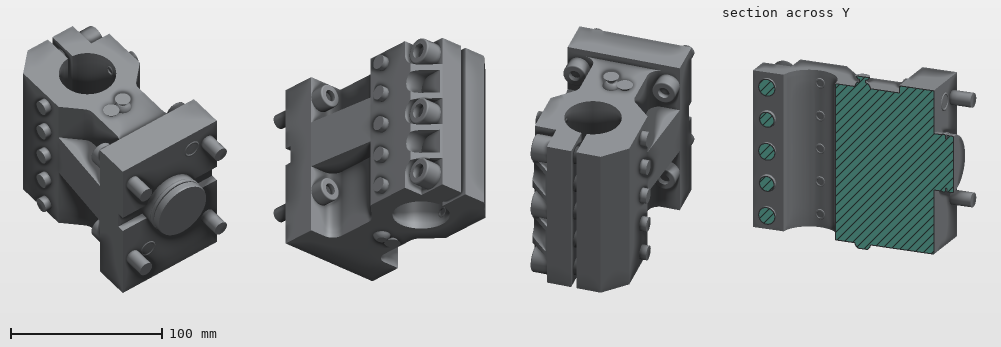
import cadquery as cq


body_height = 110.0
body_half_width = 33.75
body_left = -41.0
corner_chamfer = 15.0
bore_diameter = 38.0
slit_width = 3.7

neck_start = 12.7
neck_half_width = 19.0
neck_fillet = 8.0
rib_bottom = 48.0
rib_top = 81.0

plate_left = 65.0
plate_right = 90.0
plate_height = 115.0
plate_half_width = 39.0
key_slot_depth = 5.0
key_slot_width = 12.4

plate_screw_diameter = 10.0
plate_screw_head_diameter = 16.0
plate_screw_length = 40.0
plate_screw_y = 31.0
plate_screw_levels = (30.0, 100.0)

clamp_screw_diameter = 12.0
clamp_screw_head_diameter = 18.0
clamp_screw_length = 35.0
clamp_axis_x = -30.5
clamp_pitch = 45.0
clamp_middle_level = body_height / 2
clamp_seat_width = 19.5
clamp_seat_y = body_half_width - corner_chamfer
clamp_screw_levels = [clamp_middle_level + step * clamp_pitch for step in (-1, 0, 1)]
spread_screw_levels = [clamp_middle_level + step * clamp_pitch for step in (-0.5, 0.5)]
spread_seat_width = 17.0
spread_seat_step = 1.1
spread_seat_y = clamp_seat_y + spread_seat_step
spread_screw_length = 18.0
spread_tip_chamfer = 2.5

head_edge_round = 1.0
plate_socket_diameter = 8.0
clamp_socket_diameter = 10.0
socket_depth_ratio = 0.4

set_screw_diameter = 10.0
set_screw_length = 20.0
set_screw_end = 38.5
set_screw_tip_chamfer = 1.75
set_screw_cup_diameter = 5.0
set_screw_cup_depth = 1.0
set_screw_count = 5
set_screw_pitch = 23.0
set_screw_first_level = 9.0

spigot_diameter = 40.0
spigot_level = 65.0
spigot_end = 104.0
spigot_end_chamfer_length = 1.0
spigot_end_chamfer_height = 0.4
seal_centre_x = 96.6
seal_cord_radius = 1.6
seal_outer_diameter = 41.0
groove_start = 98.2
groove_end = 99.1
groove_diameter = 35.0

coolant_ring_diameter = 12.8
coolant_ring_cord_radius = 1.0
coolant_ring_projection = 0.4
coolant_ring_offset_y = 18.2
coolant_ring_offset_z = 36.0

nozzle_x = 38.5
ball_radius = 6.0
ball_centre_depth = 1.45
ball_projection = 3.5
neck_radius = 2.3
neck_top = 5.3
nozzle_cone_base_radius = 3.5
nozzle_cone_top_radius = 5.2
nozzle_cone_top = 7.6
plug_y = -9.5
plug_base_radius = 3.1
plug_rim_radius = 5.4
plug_top_height = 2.9
plug_bottom_height = 2.6


def make_body():
    """Body and neck in plan, with the outer corners on the slit side chamfered."""
    slope_end = neck_start + body_half_width - neck_half_width
    outline = (
        cq.Workplane("XY")
        .moveTo(body_left, -body_half_width + corner_chamfer)
        .lineTo(body_left + corner_chamfer, -body_half_width)
        .lineTo(neck_start, -body_half_width)
        .lineTo(slope_end, -neck_half_width)
        .lineTo(plate_left, -neck_half_width)
        .lineTo(plate_left, neck_half_width)
        .lineTo(slope_end, neck_half_width)
        .lineTo(neck_start, body_half_width)
        .lineTo(body_left + corner_chamfer, body_half_width)
        .lineTo(body_left, body_half_width - corner_chamfer)
        .close()
    )
    body = outline.extrude(body_height)
    margin = neck_fillet / 4
    fillet_zone = cq.selectors.BoxSelector(
        (slope_end - margin, -neck_half_width - margin, 0),
        (slope_end + margin, neck_half_width + margin, body_height),
    )
    return body.edges("|Z").edges(fillet_zone).fillet(neck_fillet)


def make_plate():
    """Mounting plate with a key slot across its mounting face."""
    plate = cq.Workplane("XY").box(
        plate_right - plate_left, 2 * plate_half_width, plate_height, centered=(False, True, False)
    ).translate((plate_left, 0, 0))
    slot = cq.Workplane("XY").box(
        key_slot_depth, 2 * plate_half_width, key_slot_width, centered=(False, True, True)
    ).translate((plate_right - key_slot_depth, 0, spigot_level))
    return plate.cut(slot)


def make_rib():
    """Tapered rib joining the body to the full width of the plate."""
    return (
        cq.Workplane("XY", origin=(0, 0, rib_bottom))
        .polyline([
            (neck_start, -body_half_width),
            (plate_left, -plate_half_width),
            (plate_left, plate_half_width),
            (neck_start, body_half_width),
        ])
        .close()
        .extrude(rib_top - rib_bottom)
    )


def make_neck_cove(side):
    """Concave fillet where the neck meets the plate, on the side given by its sign."""
    cove_start = plate_left - neck_fillet
    cove_end_y = neck_half_width + neck_fillet
    return (
        cq.Workplane("XY")
        .moveTo(cove_start, side * neck_half_width)
        .radiusArc((plate_left, side * cove_end_y), -side * neck_fillet)
        .lineTo(plate_left, side * neck_half_width)
        .close()
        .extrude(body_height)
    )


def make_bore_and_slit():
    """Through bore and the slit opening it to the -X face."""
    bore = cq.Workplane("XY").circle(bore_diameter / 2).extrude(body_height)
    bore = bore.rotate((0, 0, 0), (0, 0, 1), 180)
    slit = cq.Workplane("XY").box(
        -body_left, slit_width, body_height, centered=(False, True, False)
    ).translate((body_left, 0, 0))
    return bore.union(slit)


def make_screw_seat(level, width, seat_y):
    """Round-ended pocket from the +Y side, open towards -X, with its floor at seat_y."""
    depth = body_half_width - seat_y
    reach = clamp_axis_x - body_left
    base = cq.Workplane("XZ", origin=(clamp_axis_x, body_half_width, level))
    round_end = base.circle(width / 2).extrude(depth)
    channel = base.center(-reach / 2, 0).rect(reach, width).extrude(depth)
    return round_end.union(channel)


def make_end_relief(level, outward):
    """Opens the seat of an end screw to the nearest end face of the body."""
    corner_x = clamp_axis_x + clamp_seat_width / 2
    width = corner_x - body_left
    depth = body_half_width - clamp_seat_y
    end_distance = body_height - clamp_screw_levels[-1]
    centre = (body_left + width / 2, clamp_seat_y + depth / 2, level + outward * end_distance / 2)
    return cq.Workplane("XY").box(width, depth, end_distance).translate(centre)


def make_socket_screw(diameter, head_diameter, length, socket_diameter):
    """Socket head screw along +Z, its head below Z = 0 and as tall as the diameter."""
    head = cq.Workplane("XY").circle(head_diameter / 2).extrude(-diameter)
    head = head.faces("<Z").edges().fillet(head_edge_round)
    shank = cq.Workplane("XY").circle(diameter / 2).extrude(length)
    socket = (
        cq.Workplane("XY", origin=(0, 0, -diameter))
        .circle(socket_diameter / 2)
        .extrude(diameter * socket_depth_ratio)
    )
    return head.union(shank).cut(socket)


def make_pointed_screw(diameter, length, tip_chamfer):
    """Headless screw along -Y with its chamfered tip at the origin."""
    screw = cq.Workplane("XZ").circle(diameter / 2).extrude(-length)
    return screw.faces("<Y").chamfer(tip_chamfer)


def make_seal_ring(outer_diameter, cord_radius, centre_x):
    """Round-section ring about the X axis."""
    ring_radius = outer_diameter / 2 - cord_radius
    return cq.Workplane(
        cq.Solid.makeTorus(ring_radius, cord_radius, cq.Vector(centre_x, 0, 0), cq.Vector(1, 0, 0))
    )


def make_spigot():
    """Turned spigot about the X direction, with groove, seal ring and end chamfer."""
    radius = spigot_diameter / 2
    groove_radius = groove_diameter / 2
    chamfer_start = spigot_end - spigot_end_chamfer_length
    inner_end = plate_right - key_slot_depth
    turned = (
        cq.Workplane("XY")
        .polyline([
            (inner_end, 0),
            (inner_end, radius),
            (groove_start, radius),
            (groove_start, groove_radius),
            (groove_end, groove_radius),
            (groove_end, radius),
            (chamfer_start, radius),
            (spigot_end, radius - spigot_end_chamfer_height),
            (spigot_end, 0),
        ])
        .close()
        .revolve(360, (0, 0, 0), (1, 0, 0))
    )
    seal = make_seal_ring(seal_outer_diameter, seal_cord_radius, seal_centre_x)
    return turned.union(seal).translate((0, 0, spigot_level))


def make_ball():
    """Truncated ball cap standing on Z = 0, with its root below."""
    sphere = cq.Workplane("XY").sphere(ball_radius).translate((0, 0, -ball_centre_depth))
    trim = cq.Workplane("XY").circle(2 * ball_radius).extrude(ball_radius)
    return sphere.cut(trim.translate((0, 0, ball_projection)))


def make_cone(bottom, bottom_radius, top, top_radius):
    """Cone frustum about Z."""
    return cq.Workplane(
        cq.Solid.makeCone(bottom_radius, top_radius, top - bottom, cq.Vector(0, 0, bottom))
    )


def make_nozzle():
    """Ball cap carrying a neck and a flared head."""
    neck = cq.Workplane("XY").circle(neck_radius).extrude(neck_top)
    head = make_cone(neck_top, nozzle_cone_base_radius, nozzle_cone_top, nozzle_cone_top_radius)
    return make_ball().union(neck).union(head)


def make_plug(height):
    """Flared plug standing on Z = 0."""
    return make_cone(0, plug_base_radius, height, plug_rim_radius)


def flip_down(shape):
    """Turns a shape standing on Z = 0 so that it hangs below Z = 0."""
    return shape.mirror("XY")


holder = make_body().union(make_rib()).union(make_plate())
for side in (-1, 1):
    holder = holder.union(make_neck_cove(side))
holder = holder.cut(make_bore_and_slit())
for level in clamp_screw_levels:
    holder = holder.cut(make_screw_seat(level, clamp_seat_width, clamp_seat_y))
for level in spread_screw_levels:
    holder = holder.cut(make_screw_seat(level, spread_seat_width, spread_seat_y))
holder = holder.cut(make_end_relief(clamp_screw_levels[0], -1))
holder = holder.cut(make_end_relief(clamp_screw_levels[-1], 1))

plate_screw = make_socket_screw(
    plate_screw_diameter, plate_screw_head_diameter, plate_screw_length, plate_socket_diameter
).rotate((0, 0, 0), (0, 1, 0), 90)
for level in plate_screw_levels:
    for side in (-1, 1):
        holder = holder.union(plate_screw.translate((plate_left, side * plate_screw_y, level)))

clamp_screw = make_socket_screw(
    clamp_screw_diameter, clamp_screw_head_diameter, clamp_screw_length, clamp_socket_diameter
).rotate((0, 0, 0), (1, 0, 0), 90)
for level in clamp_screw_levels:
    holder = holder.union(clamp_screw.translate((clamp_axis_x, clamp_seat_y, level)))

spread_screw = make_pointed_screw(clamp_screw_diameter, spread_screw_length, spread_tip_chamfer)
for level in spread_screw_levels:
    holder = holder.union(spread_screw.translate((clamp_axis_x, -slit_width / 2, level)))

set_screw_tip_y = set_screw_end - set_screw_length
set_screw = make_pointed_screw(set_screw_diameter, set_screw_length, set_screw_tip_chamfer)
set_screw = set_screw.translate((0, set_screw_tip_y, 0))
cup = cq.Workplane("XZ").circle(set_screw_cup_diameter / 2).extrude(-set_screw_cup_depth)
cup = cup.translate((0, set_screw_tip_y, 0))
for index in range(set_screw_count):
    level = set_screw_first_level + index * set_screw_pitch
    holder = holder.union(set_screw.translate((0, 0, level)))
    holder = holder.union(set_screw.mirror("XZ").translate((0, 0, level)))
    holder = holder.cut(cup.translate((0, 0, level)))
    holder = holder.cut(cup.mirror("XZ").translate((0, 0, level)))

holder = holder.union(make_spigot())
coolant_ring_centre_x = plate_right + coolant_ring_projection - coolant_ring_cord_radius
coolant_ring = make_seal_ring(coolant_ring_diameter, coolant_ring_cord_radius, coolant_ring_centre_x)
for side in (-1, 1):
    ring_level = spigot_level + side * coolant_ring_offset_z
    holder = holder.union(coolant_ring.translate((0, side * coolant_ring_offset_y, ring_level)))

holder = holder.union(make_nozzle().translate((nozzle_x, 0, body_height)))
holder = holder.union(make_plug(plug_top_height).translate((nozzle_x, plug_y, body_height)))
holder = holder.union(flip_down(make_ball()).translate((nozzle_x, 0, 0)))
holder = holder.union(flip_down(make_plug(plug_bottom_height)).translate((nozzle_x, plug_y, 0)))

result = holder